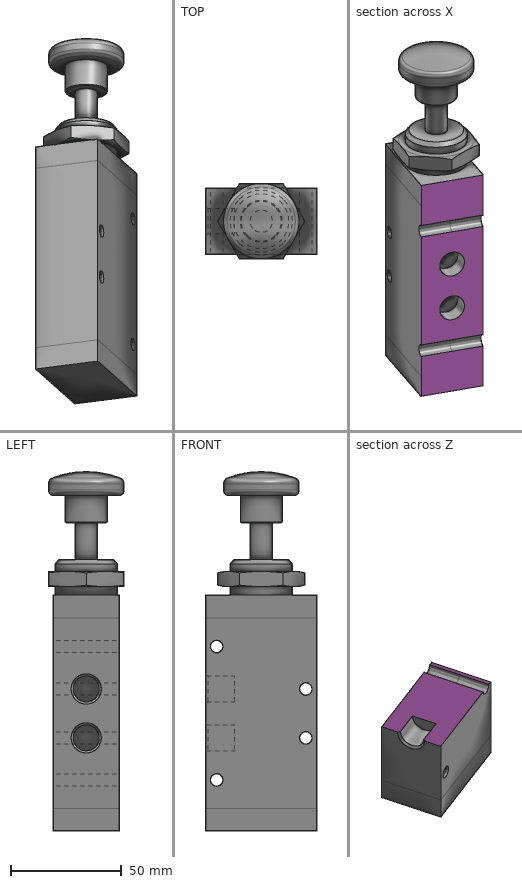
import cadquery as cq
import math

HOUSING_WIDTH = 50.0
HOUSING_DEPTH = 30.0
HOUSING_HEIGHT = 106.3
CAP_HEIGHT = 10.2
HOUSING_TOP_Z = HOUSING_HEIGHT

MOUNTING_HOLE_DIAMETER = 5.5
MOUNTING_HOLE_X = 20.1
LEFT_HOLE_HEIGHTS = (23.0, 83.1)

PORT_HEIGHTS = (42.0, 64.0)
PORT_DIAMETER = 11.7
PORT_CHAMFER = 1.0
PORT_DEPTH = 13.0

BUSHING_DIAMETER = 28.0
BUSHING_HEIGHT = 16.0
BUSHING_CHAMFER_WIDTH = 1.6
BUSHING_CHAMFER_HEIGHT = 2.0
BUSHING_TOP_Z = HOUSING_TOP_Z + BUSHING_HEIGHT
NUT_ACROSS_FLATS = 34.0
NUT_ACROSS_CORNERS = NUT_ACROSS_FLATS / math.cos(math.radians(30))
NUT_HEIGHT = 6.8
NUT_BOTTOM_Z = HOUSING_TOP_Z + 3.9
NUT_CHAMFER_DROP = 0.6
NUT_FACE_DIAMETER = NUT_ACROSS_FLATS

OVERALL_HEIGHT = 162.0
STEM_DIAMETER = 10.0
HUB_DIAMETER = 19.0
HUB_BOTTOM_Z = 138.8
HUB_CHAMFER = 0.5
KNOB_DIAMETER = 34.0
KNOB_BOTTOM_Z = 151.1
KNOB_EDGE_RADIUS = 2.5
KNOB_RIM_HEIGHT = 2.9
CROWN_DIAMETER = 30.8
CROWN_HEIGHT = 2.9


def make_housing_block():
    """Stack the lower cap, valve body and upper cap, keeping the joint lines between them."""
    body_height = HOUSING_HEIGHT - 2 * CAP_HEIGHT
    block = None
    base_z = 0
    for height in (CAP_HEIGHT, body_height, CAP_HEIGHT):
        layer = (
            cq.Workplane("XY", origin=(0, 0, base_z))
            .rect(HOUSING_WIDTH, HOUSING_DEPTH)
            .extrude(height)
        )
        block = layer if block is None else block.union(layer, clean=False)
        base_z += height
    return block


def make_mounting_holes():
    """Cutters for the four through holes."""
    left = [(-MOUNTING_HOLE_X, z) for z in LEFT_HOLE_HEIGHTS]
    right = [(MOUNTING_HOLE_X, z) for z in PORT_HEIGHTS]
    return (
        cq.Workplane("XZ")
        .pushPoints(left + right)
        .circle(MOUNTING_HOLE_DIAMETER / 2)
        .extrude(HOUSING_DEPTH, both=True)
    )


def make_port(z):
    """Cutter for one blind port with a chamfered mouth, its axis along X."""
    radius = PORT_DIAMETER / 2
    mouth_x = -HOUSING_WIDTH / 2
    return (
        cq.Workplane("XY", origin=(0, 0, z))
        .moveTo(mouth_x, 0)
        .lineTo(mouth_x, radius + PORT_CHAMFER)
        .lineTo(mouth_x + PORT_CHAMFER, radius)
        .lineTo(mouth_x + PORT_DEPTH, radius)
        .lineTo(mouth_x + PORT_DEPTH, 0)
        .close()
        .revolve(360, (0, 0, 0), (1, 0, 0))
    )


def make_bushing():
    """Round collar with a chamfered top edge."""
    radius = BUSHING_DIAMETER / 2
    return (
        cq.Workplane("XZ")
        .moveTo(0, HOUSING_TOP_Z)
        .lineTo(radius, HOUSING_TOP_Z)
        .lineTo(radius, BUSHING_TOP_Z - BUSHING_CHAMFER_HEIGHT)
        .lineTo(radius - BUSHING_CHAMFER_WIDTH, BUSHING_TOP_Z)
        .lineTo(0, BUSHING_TOP_Z)
        .close()
        .revolve()
    )


def make_nut():
    """Hexagon with corners on the X axis, its corners bevelled by a cone above and below."""
    top_z = NUT_BOTTOM_Z + NUT_HEIGHT
    face_radius = NUT_FACE_DIAMETER / 2
    corner_radius = NUT_ACROSS_CORNERS / 2
    hexagon = (
        cq.Workplane("XY", origin=(0, 0, NUT_BOTTOM_Z))
        .polygon(6, NUT_ACROSS_CORNERS)
        .extrude(NUT_HEIGHT)
    )
    bevelled_disc = (
        cq.Workplane("XZ")
        .moveTo(0, NUT_BOTTOM_Z)
        .lineTo(face_radius, NUT_BOTTOM_Z)
        .lineTo(corner_radius, NUT_BOTTOM_Z + NUT_CHAMFER_DROP)
        .lineTo(corner_radius, top_z - NUT_CHAMFER_DROP)
        .lineTo(face_radius, top_z)
        .lineTo(0, top_z)
        .close()
        .revolve()
    )
    return hexagon.intersect(bevelled_disc)


def make_housing():
    """Drilled block with the bushing and nut on top."""
    housing = make_housing_block().cut(make_mounting_holes(), clean=False)
    for z in PORT_HEIGHTS:
        housing = housing.cut(make_port(z), clean=False)
    collar = make_bushing().union(make_nut())
    return housing.union(collar, clean=False)


def make_plunger():
    """Stem, hub and domed knob, standing on the bushing."""
    stem_radius = STEM_DIAMETER / 2
    hub_radius = HUB_DIAMETER / 2
    knob_radius = KNOB_DIAMETER / 2
    crown_radius = CROWN_DIAMETER / 2
    rim_bottom_z = KNOB_BOTTOM_Z + KNOB_EDGE_RADIUS
    rim_top_z = rim_bottom_z + KNOB_RIM_HEIGHT
    crown_z = OVERALL_HEIGHT - CROWN_HEIGHT

    sphere_radius = (crown_radius**2 + CROWN_HEIGHT**2) / (2 * CROWN_HEIGHT)
    crown_mid_x = crown_radius / 2
    crown_mid_z = OVERALL_HEIGHT - sphere_radius + math.sqrt(sphere_radius**2 - crown_mid_x**2)

    return (
        cq.Workplane("XZ")
        .moveTo(0, BUSHING_TOP_Z)
        .lineTo(stem_radius, BUSHING_TOP_Z)
        .lineTo(stem_radius, HUB_BOTTOM_Z)
        .lineTo(hub_radius - HUB_CHAMFER, HUB_BOTTOM_Z)
        .lineTo(hub_radius, HUB_BOTTOM_Z + HUB_CHAMFER)
        .lineTo(hub_radius, KNOB_BOTTOM_Z)
        .lineTo(knob_radius - KNOB_EDGE_RADIUS, KNOB_BOTTOM_Z)
        .tangentArcPoint((knob_radius, rim_bottom_z), relative=False)
        .lineTo(knob_radius, rim_top_z)
        .tangentArcPoint((crown_radius, crown_z), relative=False)
        .threePointArc((crown_mid_x, crown_mid_z), (0, OVERALL_HEIGHT))
        .close()
        .revolve()
    )


housing = make_housing()
plunger = make_plunger()

result = cq.Compound.makeCompound([housing.solids().val(), plunger.val()])